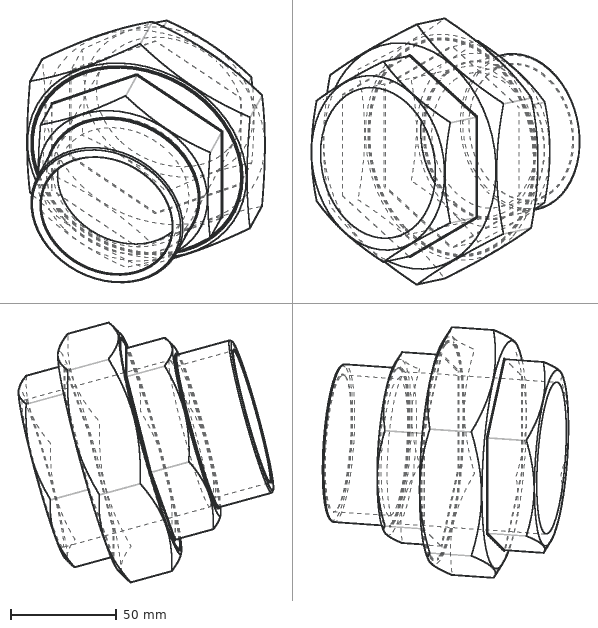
import cadquery as cq
import math


overall_length = 103.5
nut_length = 30.2
small_hex_length = 22.95
collar_length = 0.8

nut_front = -nut_length / 2
nut_rear = nut_length / 2
hex_front = nut_front - small_hex_length
rear_end = nut_rear + small_hex_length
front_end = rear_end - overall_length

flats_to_corners = 1 / math.cos(math.pi / 6)
nut_across_flats = 109.0
nut_face_dia = 108.4
hex_across_flats = 84.0
hex_face_dia = 83.6
bevel_angle = 30.0
hex_edge_radius = 0.3
hex_foot_flare = 0.4

flange_dia = 103.0
gap_outer_dia = 104.4
gap_mouth_dia = 105.0
gap_depth = 0.6
flange_foot_flare = 0.4

spigot_dia = 75.18
spigot_end_chamfer = 0.8
collar_dia = 75.38
collar_flare = 0.4

bore_dia = 65.0
bore_mouth_chamfer = 0.4
socket_dia = 72.23


def revolve_profile(points):
    """Solid of revolution about the Y axis from (radius, y) points."""
    return cq.Workplane("XY").polyline(points).close().revolve(360, (0, 0, 0), (0, 1, 0))


def hexagon(start_flats, end_flats, start, end):
    """Hexagonal prism or frustum along Y, corners along Z, with slightly rounded long edges."""
    first = cq.Workplane("XZ", origin=(0, start, 0)).transformed(rotate=(0, 0, 90))
    second = first.polygon(6, start_flats * flats_to_corners).workplane(offset=start - end)
    solid = second.polygon(6, end_flats * flats_to_corners).loft(ruled=True)
    return solid.edges("not(<Y or >Y)").fillet(hex_edge_radius)


def bevel_corners(prism, across_flats, face_dia, start, end):
    """Turn the corners of a hexagon down to face_dia at the end station."""
    corner_radius = across_flats * flats_to_corners / 2
    face_radius = face_dia / 2
    bevel_length = (corner_radius - face_radius) * math.tan(math.radians(bevel_angle))
    shoulder = end - math.copysign(bevel_length, end - start)
    envelope = revolve_profile(
        [(0, start), (corner_radius, start), (corner_radius, shoulder), (face_radius, end), (0, end)]
    )
    return prism.intersect(envelope)


def make_nut():
    """Coupling nut with both ends beveled and a ring gap in its front face."""
    nut = hexagon(nut_across_flats, nut_across_flats, nut_front, nut_rear)
    nut = bevel_corners(nut, nut_across_flats, nut_face_dia, nut_front, nut_rear)
    nut = bevel_corners(nut, nut_across_flats, nut_face_dia, nut_rear, nut_front)
    mouth_depth = (gap_mouth_dia - gap_outer_dia) / 2
    gap = revolve_profile(
        [
            (flange_dia / 2, nut_front),
            (gap_mouth_dia / 2, nut_front),
            (gap_outer_dia / 2, nut_front + mouth_depth),
            (gap_outer_dia / 2, nut_front + gap_depth),
            (flange_dia / 2 + flange_foot_flare, nut_front + gap_depth),
            (flange_dia / 2, nut_front + gap_depth - flange_foot_flare),
        ]
    )
    return nut.cut(gap)


def make_small_hex(nut_face, outer_face):
    """Wrench hexagon, beveled at its outer face and flared where it meets the nut."""
    body = hexagon(hex_across_flats, hex_across_flats, nut_face, outer_face)
    body = bevel_corners(body, hex_across_flats, hex_face_dia, nut_face, outer_face)
    foot_flats = hex_across_flats + 2 * hex_foot_flare
    foot_end = nut_face + math.copysign(hex_foot_flare, outer_face - nut_face)
    return body.union(hexagon(foot_flats, hex_across_flats, nut_face, foot_end))


def make_spigot():
    """Spigot with a chamfered tip, and the collar flaring out to the hexagon face."""
    spigot_radius = spigot_dia / 2
    collar_radius = collar_dia / 2
    collar_front = hex_front - collar_length
    return revolve_profile(
        [
            (0, front_end),
            (spigot_radius - spigot_end_chamfer, front_end),
            (spigot_radius, front_end + spigot_end_chamfer),
            (spigot_radius, collar_front),
            (collar_radius, collar_front),
            (collar_radius, hex_front - collar_flare),
            (collar_radius + collar_flare, hex_front),
            (0, hex_front),
        ]
    )


def make_bore():
    """Through bore: chamfered front mouth, narrow bore, cone, wider socket bore."""
    bore_radius = bore_dia / 2
    socket_radius = socket_dia / 2
    cone_length = socket_radius - bore_radius
    return revolve_profile(
        [
            (0, front_end),
            (bore_radius + bore_mouth_chamfer, front_end),
            (bore_radius, front_end + bore_mouth_chamfer),
            (bore_radius, hex_front),
            (socket_radius, hex_front + cone_length),
            (socket_radius, rear_end),
            (0, rear_end),
        ]
    )


body = make_nut()
body = body.union(make_small_hex(nut_front, hex_front))
body = body.union(make_small_hex(nut_rear, rear_end))
body = body.union(make_spigot())
result = body.cut(make_bore())